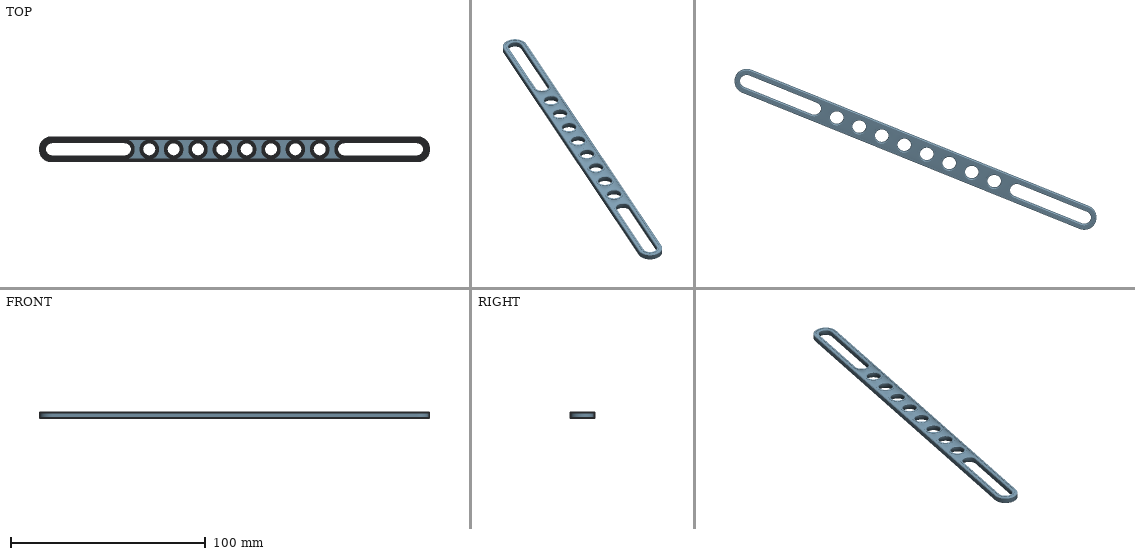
import cadquery as cq

length = 200.0
pitch_count = 16
hole_count = 8
bore_diameter = 7.0
ring_diameter = 9.2
edge_chamfer = 0.3
recess_depth = 0.2

pitch = length / pitch_count
width = pitch
thickness = pitch / 4
rim_width = (ring_diameter - bore_diameter) / 2

slot_inner_x = (hole_count + 1) * pitch / 2
slot_outer_x = (length - width) / 2
slot_run = slot_outer_x - slot_inner_x
slot_x = (slot_inner_x + slot_outer_x) / 2


def rounded_bar(inset, bottom, height):
    """Bar outline with fully rounded ends, moved inward by the inset and extruded."""
    plane = cq.Workplane("XY").workplane(offset=bottom)
    return plane.slot2D(length - 2 * inset, width - 2 * inset).extrude(height)


def openings(diameter, bottom, height):
    """Row of round posts and two end slots, all of one diameter or width."""
    plane = cq.Workplane("XY").workplane(offset=bottom)
    holes = plane.rarray(pitch, 2, hole_count, 1).circle(diameter / 2).extrude(height)
    slots = (
        plane.pushPoints([(-slot_x, 0), (slot_x, 0)])
        .slot2D(slot_run + diameter, diameter)
        .extrude(height)
    )
    return holes.union(slots)


def face_recess(bottom):
    """Shallow recess inside the outer rim, leaving a raised ring around every opening."""
    floor = rounded_bar(rim_width, bottom, recess_depth)
    return floor.cut(openings(ring_diameter, bottom, recess_depth))


bar = rounded_bar(0, 0, thickness).cut(openings(bore_diameter, 0, thickness))
bar = bar.faces("|Z").edges().chamfer(edge_chamfer)

result = bar
for recess_bottom in (0, thickness - recess_depth):
    result = result.cut(face_recess(recess_bottom))